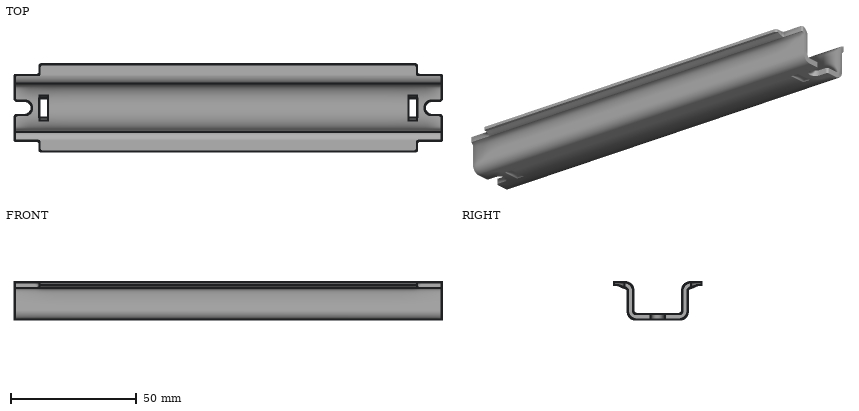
import cadquery as cq

length = 170.5
width = 35.0
height = 15.0
thickness = 2.3

channel_width = 24.0
inner_bend = 1.2
outer_bend = inner_bend + thickness
lip_edge_thickness = 1.2
lip_flat_width = 1.5

lip_setback = 9.9
lip_corner_radius = 1.0
relief_radius = 0.7
end_corner_radius = 0.7

notch_depth = 6.8
notch_width = 5.6
notch_mouth_radius = 1.0
slot_width = 3.4
slot_top_length = 10.0
slot_bottom_length = 7.5

wall_outside = channel_width / 2
wall_inside = wall_outside - thickness
bend_edge = wall_outside + inner_bend


def half_section():
    """Return the +Y half of the bent strip, with a tapered lip."""
    diagonal = 0.5 ** 0.5
    floor_bend_y = wall_outside - outer_bend
    lip_bend_z = height - outer_bend
    return (
        cq.Workplane("YZ", origin=(-length / 2, 0, 0))
        .moveTo(0, 0)
        .lineTo(floor_bend_y, 0)
        .threePointArc(
            (floor_bend_y + outer_bend * diagonal, outer_bend * (1 - diagonal)),
            (wall_outside, outer_bend),
        )
        .lineTo(wall_outside, lip_bend_z)
        .threePointArc(
            (bend_edge - inner_bend * diagonal, lip_bend_z + inner_bend * diagonal),
            (bend_edge, lip_bend_z + inner_bend),
        )
        .lineTo(width / 2 - lip_flat_width, height - lip_edge_thickness)
        .lineTo(width / 2, height - lip_edge_thickness)
        .lineTo(width / 2, height)
        .lineTo(bend_edge, height)
        .threePointArc(
            (bend_edge - outer_bend * diagonal, lip_bend_z + outer_bend * diagonal),
            (wall_inside, lip_bend_z),
        )
        .lineTo(wall_inside, outer_bend)
        .threePointArc(
            (floor_bend_y + inner_bend * diagonal, outer_bend - inner_bend * diagonal),
            (floor_bend_y, thickness),
        )
        .lineTo(0, thickness)
        .close()
        .extrude(length)
    )


def plan_outline():
    """Return a full-height block whose plan trims the lips back at both ends."""
    body = cq.Workplane("XY").rect(length, 2 * bend_edge).extrude(height)
    body = body.edges("|Z").fillet(end_corner_radius)
    lips = cq.Workplane("XY").rect(length - 2 * lip_setback, width).extrude(height)
    lips = lips.edges("|Z").fillet(lip_corner_radius)
    outline = body.union(lips)
    selection_margin = lip_corner_radius / 2
    inside_corners = cq.selectors.BoxSelector(
        (-length / 2 + lip_setback / 2, -bend_edge - selection_margin, -selection_margin),
        (length / 2 - lip_setback / 2, bend_edge + selection_margin, height + selection_margin),
    )
    return outline.edges("|Z").edges(inside_corners).fillet(relief_radius)


def end_notch(side):
    """Return a round-ended cutter open at one rail end, with a flared mouth."""
    radius = notch_width / 2
    end_x = side * length / 2
    notch = (
        cq.Workplane("XY")
        .center(end_x, 0)
        .slot2D(2 * notch_depth, notch_width)
        .extrude(thickness)
    )
    flare_x = end_x - side * notch_mouth_radius
    for y_sign in (-1, 1):
        flare_y = y_sign * (radius + notch_mouth_radius)
        corner = (
            cq.Workplane("XY")
            .center((end_x + flare_x) / 2, y_sign * (radius + notch_mouth_radius / 2))
            .rect(notch_mouth_radius, notch_mouth_radius)
            .extrude(thickness)
        )
        round_post = (
            cq.Workplane("XY")
            .center(flare_x, flare_y)
            .circle(notch_mouth_radius)
            .extrude(thickness)
        )
        notch = notch.union(corner.cut(round_post))
    return notch


def tapered_slot(side):
    """Return a cross slot whose short ends slope inward toward the underside."""
    start_x = side * (length / 2 - lip_setback - slot_width / 2) - slot_width / 2
    return (
        cq.Workplane("YZ", origin=(start_x, 0, 0))
        .polyline([
            (-slot_bottom_length / 2, 0),
            (slot_bottom_length / 2, 0),
            (slot_top_length / 2, thickness),
            (-slot_top_length / 2, thickness),
        ])
        .close()
        .extrude(slot_width)
    )


section = half_section()
rail = section.union(section.mirror("XZ"))
rail = rail.intersect(plan_outline())
for side in (-1, 1):
    rail = rail.cut(end_notch(side)).cut(tapered_slot(side))

result = rail